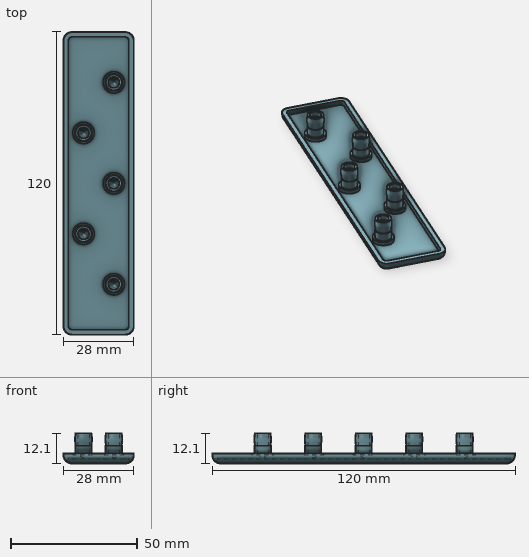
import cadquery as cq

tray_width = 28.0
tray_length = 120.0
tray_height = 4.1
outer_round = 3.5
wall = 2.0
floor_thickness = 2.0
inner_round = outer_round - wall

peg_top = 12.1
peg_pitch = 20.0
peg_offset = 6.0
peg_rows = (-2, -1, 0, 1, 2)
collar_radius = 4.25
collar_top = 3.5
stem_radius = 3.3
stem_top = 7.0
barb_base_radius = 3.1
barb_radius = 3.4
barb_bottom = 9.1
barb_top = 10.2
tip_radius = 3.15

bore_radius = 2.2
bore_end_radius = 1.1
bore_bottom = 4.0
bore_cone_height = bore_radius - bore_end_radius
bore_point_depth = 0.6


def make_tray():
    """Rounded tray with an open pocket on top."""
    body = (
        cq.Workplane("XY")
        .box(tray_width, tray_length, tray_height, centered=(True, True, False))
        .edges("|Z")
        .fillet(outer_round)
        .faces("<Z")
        .edges()
        .fillet(outer_round)
    )
    pocket = (
        cq.Workplane("XY")
        .workplane(offset=floor_thickness)
        .rect(tray_width - 2 * wall, tray_length - 2 * wall)
        .extrude(tray_height)
        .edges("|Z")
        .fillet(inner_round)
    )
    return body.cut(pocket)


def make_peg():
    """Collar, stem, barb and bore revolved as one profile about the Z axis."""
    return (
        cq.Workplane("XZ")
        .moveTo(0, floor_thickness)
        .lineTo(collar_radius, floor_thickness)
        .lineTo(collar_radius, collar_top)
        .lineTo(stem_radius, collar_top)
        .lineTo(stem_radius, stem_top)
        .lineTo(barb_base_radius, stem_top)
        .lineTo(barb_radius, barb_bottom)
        .lineTo(barb_radius, barb_top)
        .lineTo(tip_radius, peg_top)
        .lineTo(bore_radius, peg_top)
        .lineTo(bore_radius, bore_bottom)
        .lineTo(bore_end_radius, bore_bottom - bore_cone_height)
        .lineTo(0, bore_bottom - bore_cone_height - bore_point_depth)
        .close()
        .revolve(360, (0, 0), (0, 1))
    )


result = make_tray()
peg = make_peg()
for row in peg_rows:
    side = 1 if row % 2 == 0 else -1
    result = result.union(peg.translate((side * peg_offset, row * peg_pitch, 0)))